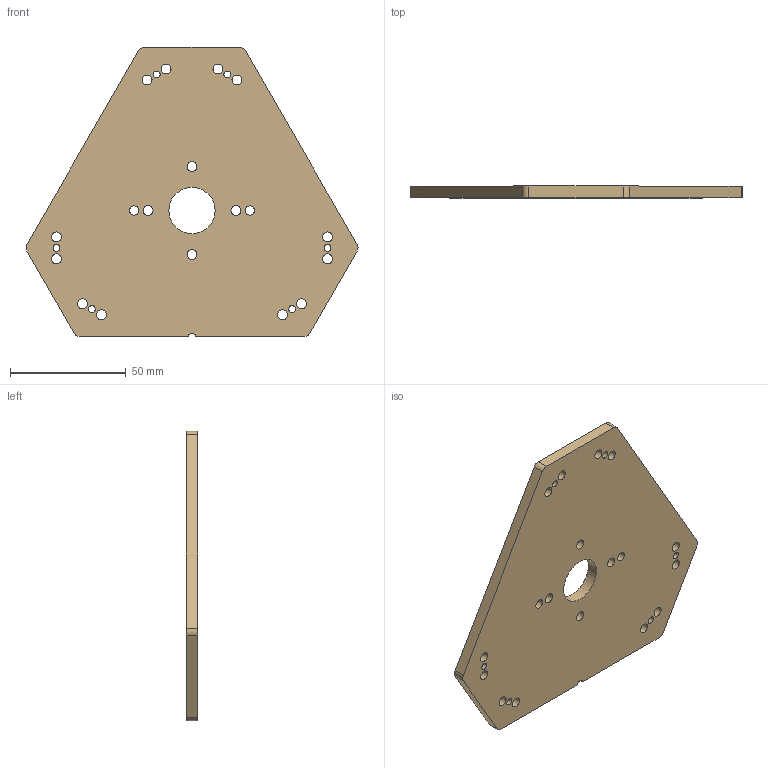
import cadquery as cq
import math

thickness = 5.0
height = 125.13
long_side_distance = 54.55
short_side_distance = height - long_side_distance
corner_radius = 3.0
third_count = 3
third_turn = 360 / third_count

bore_diameter = 20.0
screw_hole_diameter = 4.3
cross_count = 4
cross_radius = 19.0
side_hole_diameter = 4.0
side_hole_distance = 25.0

pin_hole_diameter = 3.0
row_distance = 58.6
row_offset = 16.15
row_half_pitch = 4.75

notch_diameter = 3.0


def rotated(point, degrees):
    """Turn a point (x, z) about the plate centre."""
    angle = math.radians(degrees)
    x, z = point
    return (
        x * math.cos(angle) - z * math.sin(angle),
        x * math.sin(angle) + z * math.cos(angle),
    )


def make_plate():
    """Hexagonal plate from Y = 0 to Y = thickness, with rounded corners."""
    normal_angle = math.radians(30)
    half_short_side = (
        long_side_distance - short_side_distance * math.sin(normal_angle)
    ) / math.cos(normal_angle)
    top_side = [
        (half_short_side, short_side_distance),
        (-half_short_side, short_side_distance),
    ]
    corners = []
    for turn in range(third_count):
        for corner in top_side:
            corners.append(rotated(corner, turn * third_turn))
    plate = cq.Workplane("XZ").polyline(corners).close().extrude(-thickness)
    return plate.edges("|Y").fillet(corner_radius)


def drill(plate, points, diameter):
    """Cut round through holes at the given (x, z) points."""
    cutters = cq.Workplane("XZ").pushPoints(points).circle(diameter / 2).extrude(-thickness)
    return plate.cut(cutters)


def drill_centre(plate):
    """Bore, cross of four screw holes and one more hole farther out on each side."""
    plate = drill(plate, [(0, 0)], bore_diameter)
    cross = [rotated((cross_radius, 0), i * 360 / cross_count) for i in range(cross_count)]
    plate = drill(plate, cross, screw_hole_diameter)
    side_pair = [(-side_hole_distance, 0), (side_hole_distance, 0)]
    return drill(plate, side_pair, side_hole_diameter)


def row_points(along):
    """Points at one position along each row: a mirrored pair, repeated every third turn."""
    points = []
    for turn in range(third_count):
        for side in (-1, 1):
            upright_point = (side * row_distance, along - row_offset)
            points.append(rotated(upright_point, turn * third_turn))
    return points


def drill_rows(plate):
    """Six rows of two screw holes and a pin hole near the corners."""
    screw_points = row_points(-row_half_pitch) + row_points(row_half_pitch)
    plate = drill(plate, screw_points, screw_hole_diameter)
    return drill(plate, row_points(0), pin_hole_diameter)


def cut_notch(plate):
    """Notch centred on the bottom side."""
    return drill(plate, [(0, -long_side_distance)], notch_diameter)


plate = make_plate()
plate = drill_centre(plate)
plate = drill_rows(plate)
result = cut_notch(plate)